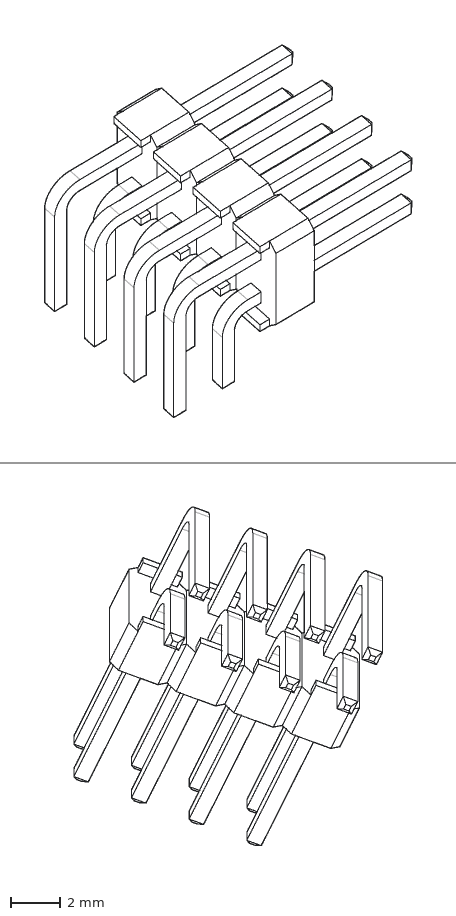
import cadquery as cq


positions = 4
row_length = 10.15
overall_depth = 12.6
overall_height = 8.0

block_height = 5.0
block_depth = 2.0
corner_chamfer = 0.4
lip_overhang = 0.5
lip_thickness = 0.4

pin_width = 0.64
pin_back_reach = 6.04
bend_inner_radius = 0.68
tip_length = 0.2
tip_inset = 0.2

pitch = row_length / positions
block_back = block_depth
block_top = block_height / 2
pin_back_end = block_back + pin_back_reach
upper_pin_front = pin_back_end - overall_depth
lower_pin_front = upper_pin_front + pitch
pin_bottom_end = block_top - overall_height
lip_width = pitch - 2 * corner_chamfer


def make_block():
    """Chamfered insulator block with a lip along its top and bottom front edges."""
    block = (
        cq.Workplane("XY")
        .box(pitch, block_depth, block_height)
        .translate((0, block_depth / 2, 0))
        .edges("|Y")
        .chamfer(corner_chamfer)
    )
    lip_center_z = block_top - lip_thickness / 2
    for side in (1, -1):
        lip = (
            cq.Workplane("XY")
            .box(lip_width, lip_overhang, lip_thickness)
            .translate((0, -lip_overhang / 2, side * lip_center_z))
        )
        block = block.union(lip)
    return block


def make_tip():
    """Four-sided taper pointing along +Z, with its base on Z = 0."""
    end_width = pin_width - 2 * tip_inset
    return (
        cq.Workplane("XY")
        .rect(pin_width, pin_width)
        .workplane(offset=tip_length)
        .rect(end_width, end_width)
        .loft(ruled=True)
    )


def make_pin(center_z, front_y):
    """Square pin running along Y at center_z, bent down at front_y, tapered at both ends."""
    straight_back = pin_back_end - tip_length
    straight_bottom = pin_bottom_end + tip_length
    leg_center_y = front_y + pin_width / 2
    top_z = center_z + pin_width / 2
    bottom_z = center_z - pin_width / 2
    leg_back_y = front_y + pin_width
    bend_start_y = leg_back_y + bend_inner_radius
    bend_end_z = bottom_z - bend_inner_radius
    wire = (
        cq.Workplane("YZ", origin=(-pin_width / 2, 0, 0))
        .moveTo(straight_back, top_z)
        .lineTo(bend_start_y, top_z)
        .radiusArc((front_y, bend_end_z), -(bend_inner_radius + pin_width))
        .lineTo(front_y, straight_bottom)
        .lineTo(leg_back_y, straight_bottom)
        .lineTo(leg_back_y, bend_end_z)
        .radiusArc((bend_start_y, bottom_z), bend_inner_radius)
        .lineTo(straight_back, bottom_z)
        .close()
        .extrude(pin_width)
    )
    back_tip = make_tip().rotate((0, 0, 0), (1, 0, 0), -90).translate((0, straight_back, center_z))
    bottom_tip = make_tip().rotate((0, 0, 0), (1, 0, 0), 180).translate((0, leg_center_y, straight_bottom))
    return wire.union(back_tip).union(bottom_tip)


def make_header_position(center_x):
    """One position of the header: a block with its upper and lower pin as a single solid."""
    upper_pin = make_pin(pitch / 2, upper_pin_front)
    lower_pin = make_pin(-pitch / 2, lower_pin_front)
    return make_block().union(upper_pin).union(lower_pin).translate((center_x, 0, 0))


row_start = -(positions - 1) * pitch / 2
header_positions = [make_header_position(row_start + index * pitch) for index in range(positions)]

result = cq.Compound.makeCompound([position.solids().val() for position in header_positions])